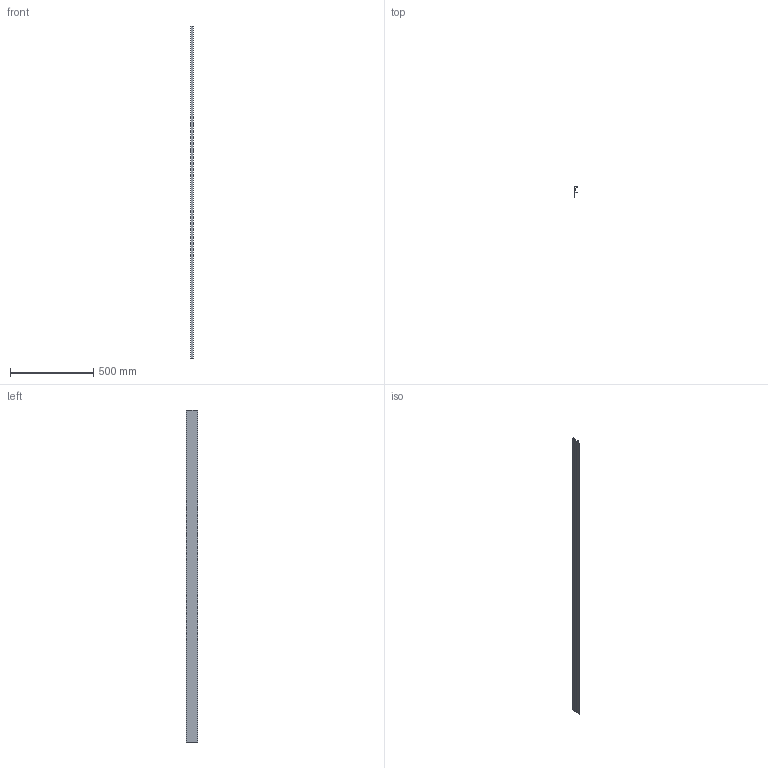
import cadquery as cq

LENGTH = 2000.0
DEPTH = 15.3
WIDTH = 66.52

WALL = 1.5

LIP_LENGTH = 6.0
BEND_RADIUS = 1.4

LOWER_FLANGE_OFFSET = 35.5

RIB_OFFSET = 16.0
RIB_WIDTH = 6.0
RIB_HEIGHT = 3.0

OUTER_X = -DEPTH / 2
TIP_X = DEPTH / 2
TOP_Y = WIDTH / 2
BOTTOM_Y = -WIDTH / 2


def section_plane():
    """Section plane at the lower end of the profile."""
    return cq.Workplane("XY", origin=(0, 0, -LENGTH / 2))


def bar(x_start, y_top, x_size, y_size):
    """Full-length rectangular bar given by its upper outer corner in section."""
    return (
        section_plane()
        .moveTo(x_start, y_top - y_size)
        .rect(x_size, y_size, centered=False)
        .extrude(LENGTH)
    )


def web():
    """Flat web ending in a full half-round along its lower edge."""
    inner_x = OUTER_X + WALL
    round_start_y = BOTTOM_Y + WALL / 2
    return (
        section_plane()
        .moveTo(OUTER_X, TOP_Y)
        .lineTo(inner_x, TOP_Y)
        .lineTo(inner_x, round_start_y)
        .threePointArc((OUTER_X + WALL / 2, BOTTOM_Y), (OUTER_X, round_start_y))
        .close()
        .extrude(LENGTH)
    )


def upper_flange():
    """Upper flange with a lip at its free edge and a rounded outer bend."""
    flange = bar(OUTER_X, TOP_Y, DEPTH, WALL)
    lip = bar(TIP_X - WALL, TOP_Y, WALL, LIP_LENGTH)
    return flange.union(lip).edges("|Z and >X and >Y").fillet(BEND_RADIUS)


def lower_flange():
    """Lower flange ending in a full half-round along its free edge."""
    top_y = TOP_Y - LOWER_FLANGE_OFFSET
    round_start_x = TIP_X - WALL / 2
    return (
        section_plane()
        .moveTo(OUTER_X, top_y)
        .lineTo(round_start_x, top_y)
        .threePointArc((TIP_X, top_y - WALL / 2), (round_start_x, top_y - WALL))
        .lineTo(OUTER_X, top_y - WALL)
        .close()
        .extrude(LENGTH)
    )


def rib():
    """Rectangular rib on the inner face of the web."""
    return bar(OUTER_X, TOP_Y - RIB_OFFSET, WALL + RIB_HEIGHT, RIB_WIDTH)


result = web().union(upper_flange()).union(lower_flange()).union(rib())